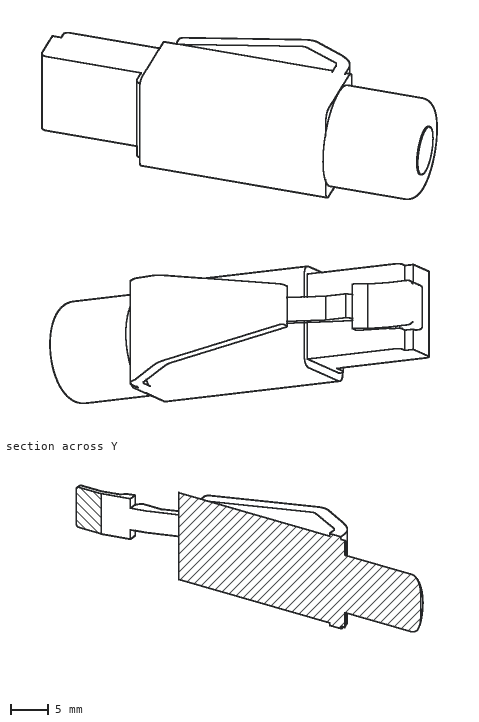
import cadquery as cq


SLEEVE_START = 16.3
SLEEVE_END = 42.6
SLEEVE_DEPTH = 11.3
SLEEVE_WIDTH = 14.0
SLEEVE_RADIUS = 1.2

CAP_RADIUS = 6.9
CAP_END = 54.65
CAP_ROUND = 1.55
STUB_RADIUS = 3.3
STUB_END = 54.85

LEVER_TOP = 12.95
LEVER_THICKNESS = 1.8
LEVER_TIP = 15.9
LEVER_BACK = 42.0
LEVER_TIP_WIDTH = 5.5
LEVER_TIP_ROUND = 0.5
LEVER_INNER_BEND = 34.15
LEVER_INNER_ROOT_Y = 6.7
LEVER_OUTER_BEND = 34.75
LEVER_OUTER_ROOT_Y = 7.5
LEVER_BEND_RADIUS = 3.55
LEVER_ROOT_RADIUS = 2.75

PLUG_WIDTH = 11.75
PLUG_START = 1.05
PLUG_TOP = 4.75
PLUG_BOTTOM = -2.0
PLUG_BOTTOM_ROUND = 0.8
NOTCH_END = 2.3
NOTCH_FLOOR = 3.3
NOTCH_ROUND = 0.65
HEEL_START = 15.3
HEEL_BOTTOM = -4.65
HEEL_ROUND = SLEEVE_START - HEEL_START

LATCH_WIDTH = 6.15
LATCH_TAIL_WIDTH = 3.3
LATCH_TAIL_START = 8.15
LATCH_TOP = 5.9
LATCH_BOTTOM = 2.65
LATCH_ROOT_END = 3.7
LATCH_NOSE_ROUND = 0.55
LATCH_HUMP_X = 6.95
LATCH_HUMP_Y = 7.1
LATCH_HUMP_ROUND = 0.8
LATCH_PAD_TOP = 8.05
LATCH_TIP_END = 18.05
LATCH_TIP_TOP = 10.15
LATCH_TIP_BOTTOM = 8.95
LATCH_TIP_ROUND = 0.45


def box(x_range, y_range, width):
    """Block between two X and two Y values, centred on Z = 0."""
    return (
        cq.Workplane("XY")
        .box(x_range[1] - x_range[0], y_range[1] - y_range[0], width, centered=(False, False, True))
        .translate((x_range[0], y_range[0], 0))
    )


def extrude_profile(points, width):
    """Extrude an XY outline symmetrically about Z = 0."""
    return cq.Workplane("XY").polyline(points).close().extrude(width / 2, both=True)


def round_edge_at(body, x, y, radius):
    """Round the Z-parallel edge that passes through (x, y)."""
    reach = 0.03
    low_corner = (x - reach, y - reach, -SLEEVE_WIDTH)
    high_corner = (x + reach, y + reach, SLEEVE_WIDTH)
    near_edge = cq.selectors.BoxSelector(low_corner, high_corner)
    return body.edges("|Z").edges(near_edge).fillet(radius)


def make_lever():
    inner_top = LEVER_TOP - LEVER_THICKNESS
    root_front = LEVER_BACK - LEVER_THICKNESS
    lever = extrude_profile(
        [
            (LEVER_TIP, inner_top),
            (LEVER_TIP, LEVER_TOP),
            (LEVER_OUTER_BEND, LEVER_TOP),
            (LEVER_BACK, LEVER_OUTER_ROOT_Y),
            (LEVER_BACK, 0),
            (root_front, 0),
            (root_front, LEVER_INNER_ROOT_Y),
            (LEVER_INNER_BEND, inner_top),
        ],
        SLEEVE_WIDTH,
    )
    for y in (inner_top, LEVER_TOP):
        lever = round_edge_at(lever, LEVER_TIP, y, LEVER_TIP_ROUND)
    lever = round_edge_at(lever, LEVER_OUTER_BEND, LEVER_TOP, LEVER_BEND_RADIUS)
    lever = round_edge_at(lever, LEVER_INNER_BEND, inner_top, LEVER_BEND_RADIUS - LEVER_THICKNESS)
    lever = round_edge_at(lever, LEVER_BACK, LEVER_OUTER_ROOT_Y, LEVER_ROOT_RADIUS)
    lever = round_edge_at(lever, root_front, LEVER_INNER_ROOT_Y, LEVER_ROOT_RADIUS - LEVER_THICKNESS)

    half_root = SLEEVE_WIDTH / 2
    half_tip = LEVER_TIP_WIDTH / 2
    plan = (
        cq.Workplane("XZ")
        .polyline(
            [
                (LEVER_TIP, -half_tip),
                (root_front, -half_root),
                (LEVER_BACK, -half_root),
                (LEVER_BACK, half_root),
                (root_front, half_root),
                (LEVER_TIP, half_tip),
            ]
        )
        .close()
        .extrude(-LEVER_TOP)
    )
    return lever.intersect(plan)


def make_cap():
    cap = cq.Workplane("YZ", origin=(SLEEVE_END, 0, 0)).circle(CAP_RADIUS).extrude(CAP_END - SLEEVE_END)
    cap = cap.faces(">X").edges().fillet(CAP_ROUND)
    stub = cq.Workplane("YZ", origin=(SLEEVE_END, 0, 0)).circle(STUB_RADIUS).extrude(STUB_END - SLEEVE_END)
    return cap.union(stub)


def make_housing():
    half_depth = SLEEVE_DEPTH / 2
    sleeve = box((SLEEVE_START, SLEEVE_END), (-half_depth, half_depth), SLEEVE_WIDTH)
    sleeve = sleeve.edges("|X").fillet(SLEEVE_RADIUS)
    return sleeve.union(make_lever()).union(make_cap())


def make_latch():
    latch = extrude_profile(
        [
            (0, LATCH_BOTTOM),
            (0, LATCH_TOP),
            (LATCH_ROOT_END, LATCH_TOP),
            (6.3, 6.45),
            (LATCH_HUMP_X, LATCH_HUMP_Y),
            (LATCH_TAIL_START, 7.35),
            (8.8, LATCH_PAD_TOP),
            (11.8, LATCH_PAD_TOP),
            (LATCH_TIP_END, LATCH_TIP_TOP),
            (LATCH_TIP_END, LATCH_TIP_BOTTOM),
            (10.35, 6.5),
            (4.4, 5.4),
            (LATCH_ROOT_END, 5.25),
            (LATCH_ROOT_END, PLUG_TOP),
            (NOTCH_END, PLUG_TOP),
            (NOTCH_END, NOTCH_FLOOR),
            (PLUG_START, NOTCH_FLOOR),
            (PLUG_START, LATCH_BOTTOM),
        ],
        LATCH_WIDTH,
    )
    latch = round_edge_at(latch, LATCH_TIP_END, LATCH_TIP_TOP, LATCH_TIP_ROUND)
    latch = round_edge_at(latch, LATCH_TIP_END, LATCH_TIP_BOTTOM, LATCH_TIP_ROUND)
    latch = round_edge_at(latch, LATCH_HUMP_X, LATCH_HUMP_Y, LATCH_HUMP_ROUND)
    latch = latch.faces("<X").edges("|Y or >Y").fillet(LATCH_NOSE_ROUND)
    side_cut = (LATCH_WIDTH - LATCH_TAIL_WIDTH) / 2
    for side in (-1, 1):
        beside_tail = box((LATCH_TAIL_START, LATCH_TIP_END), (PLUG_TOP, LEVER_TOP), side_cut)
        latch = latch.cut(beside_tail.translate((0, 0, side * (LATCH_WIDTH - side_cut) / 2)))
    return latch


def make_plug():
    body = extrude_profile(
        [
            (PLUG_START, PLUG_BOTTOM),
            (PLUG_START, NOTCH_FLOOR),
            (NOTCH_END, NOTCH_FLOOR),
            (NOTCH_END, PLUG_TOP),
            (SLEEVE_END, PLUG_TOP),
            (SLEEVE_END, HEEL_BOTTOM),
            (HEEL_START, HEEL_BOTTOM),
            (HEEL_START, PLUG_BOTTOM),
        ],
        PLUG_WIDTH,
    )
    body = round_edge_at(body, PLUG_START, PLUG_BOTTOM, PLUG_BOTTOM_ROUND)
    body = round_edge_at(body, NOTCH_END, PLUG_TOP, NOTCH_ROUND)
    body = round_edge_at(body, HEEL_START, HEEL_BOTTOM, HEEL_ROUND)
    body = body.cut(box((SLEEVE_START, SLEEVE_END), (HEEL_BOTTOM, PLUG_TOP), PLUG_WIDTH))
    return body.union(make_latch())


housing = make_housing()
plug = make_plug()
result = cq.Compound.makeCompound([housing.val(), plug.val()])